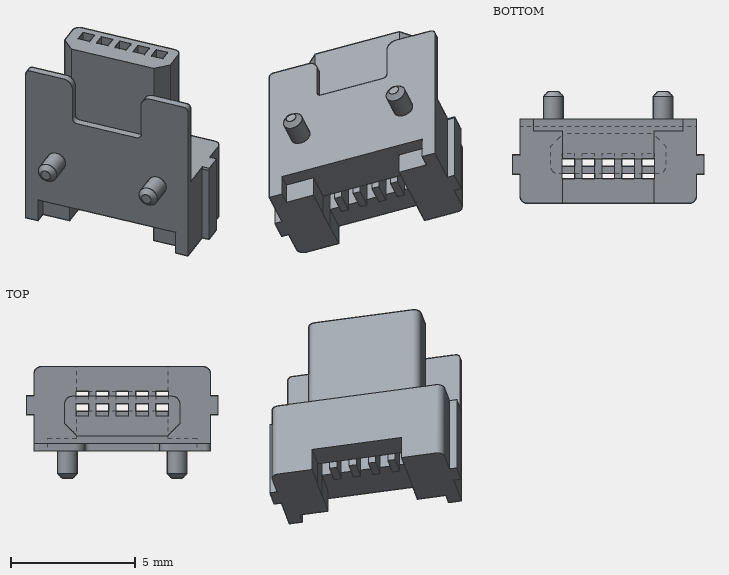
import cadquery as cq


body_width = 7.1
body_depth = 3.4
body_height = 3.4
body_corner_radius = 0.3

overall_width = 7.7
rib_front = 1.44
rib_back = 2.23
rib_bevel_height = 0.09
rib_bevel_depth = 0.03

total_height = 8.2
plug_width = 4.625
plug_depth = 1.61
plug_back = 2.205
plug_corner_radius = 0.3
plug_key_chamfer = 0.51

plate_thickness = 0.3
plate_height = 7.1
plate_corner_radius = 0.2
notch_width = 3.0
notch_bottom = 5.1
notch_mouth_radius = 0.4
notch_corner_radius = 0.2
selection_margin = 0.08

peg_count = 2
peg_spacing = 4.4
peg_height = 3.05
peg_diameter = 0.8
peg_length = 1.1
peg_chamfer = 0.2

slot_count = 5
slot_row_width = 3.7
slot_width = 0.5
plug_slot_front = 1.4
plug_slot_back = 1.9
body_slot_front = 1.61
body_slot_back = 2.4

relief_height = 1.0
step_width = 6.01
step_depth = 0.5
channel_width = 3.67
divider_drop = 0.3

plug_front = plug_back - plug_depth
slot_pitch = (slot_row_width - slot_width) / (slot_count - 1)
divider_thickness = slot_pitch - slot_width


def block(x_center, width, y_front, y_back, z_bottom, z_top):
    """Box centred on x_center, spanning the given Y and Z limits."""
    return (
        cq.Workplane("XY", origin=(x_center, y_front, z_bottom))
        .box(width, y_back - y_front, z_top - z_bottom, centered=(True, False, False))
    )


def centered_positions(count, pitch):
    """X positions of a row that is symmetric about X = 0."""
    return [(i - (count - 1) / 2) * pitch for i in range(count)]


def make_housing():
    housing = block(0, body_width, 0, body_depth, 0, body_height)
    return housing.edges("|Z and >Y").fillet(body_corner_radius)


def make_ribs():
    """One bar across the housing; its ends stand out as the side ribs."""
    bevel_start = body_height - rib_bevel_height
    profile = [
        (rib_front, 0),
        (rib_front, bevel_start),
        (rib_front + rib_bevel_depth, body_height),
        (rib_back, body_height),
        (rib_back, 0),
    ]
    return cq.Workplane("YZ").polyline(profile).close().extrude(overall_width / 2, both=True)


def make_plug():
    plug = block(0, plug_width, plug_front, plug_back, 0, total_height)
    plug = plug.edges("|Z and >Y").fillet(plug_corner_radius)
    return plug.edges("|Z and <Y").chamfer(plug_key_chamfer)


def fillet_notch_corners(plate, z, radius):
    """Round the two notch corners that lie at height z."""
    reach = notch_width / 2 + selection_margin
    corners = cq.selectors.BoxSelector(
        (-reach, -selection_margin, z - selection_margin),
        (reach, plate_thickness + selection_margin, z + selection_margin),
    )
    return plate.edges("|Y").edges(corners).fillet(radius)


def make_plate():
    plate = block(0, body_width, 0, plate_thickness, 0, plate_height)
    plate = plate.edges("|Y and >Z").fillet(plate_corner_radius)
    plate = plate.cut(block(0, notch_width, 0, plate_thickness, notch_bottom, plate_height))
    plate = fillet_notch_corners(plate, plate_height, notch_mouth_radius)
    return fillet_notch_corners(plate, notch_bottom, notch_corner_radius)


def make_peg(x):
    peg = cq.Workplane("XZ", origin=(x, 0, peg_height)).circle(peg_diameter / 2).extrude(peg_length)
    return peg.faces("<Y").chamfer(peg_chamfer)


result = make_housing().union(make_ribs()).union(make_plug()).union(make_plate())
for x in centered_positions(peg_count, peg_spacing):
    result = result.union(make_peg(x))

result = result.cut(block(0, step_width, 0, step_depth, 0, relief_height))
result = result.cut(block(0, channel_width, 0, body_depth, 0, relief_height))

for x in centered_positions(slot_count - 1, slot_pitch):
    divider = block(
        x, divider_thickness, body_slot_front, body_slot_back, relief_height - divider_drop, relief_height
    )
    result = result.union(divider)

for x in centered_positions(slot_count, slot_pitch):
    result = result.cut(block(x, slot_width, plug_slot_front, plug_slot_back, body_height, total_height))
    result = result.cut(block(x, slot_width, body_slot_front, body_slot_back, 0, body_height))